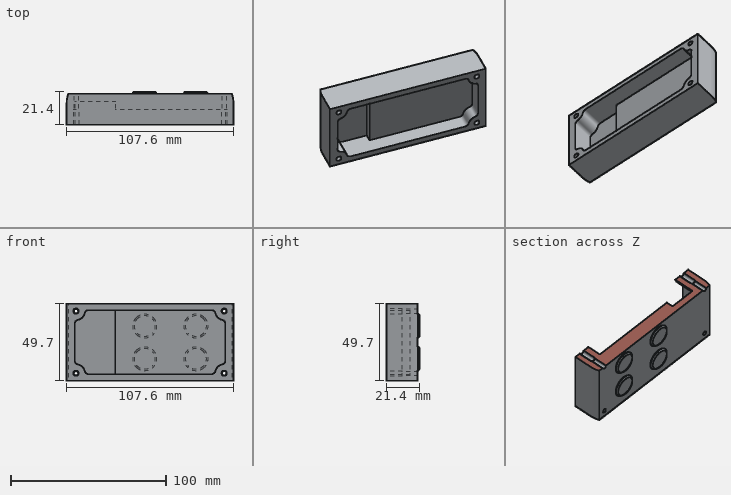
import cadquery as cq
import math

body_length = 107.6
body_height = 49.7
body_depth = 20.0

end_curve_depth = 6.5
end_curve_inset = 1.1

cavity_length = 96.9
cavity_height = 41.2
deep_bay_depth = 15.0
shallow_bay_depth = 10.0
deep_bay_length = 25.9

screw_spacing_x = 95.3
screw_spacing_z = 40.0
screw_bore_diameter = 3.4
screw_bore_depth = 10.0
screw_through_diameter = 2.8
lug_radius = 5.8
lug_blend_radius = 2.5

collar_diameter = 15.4
collar_height = 1.4
collar_chamfer = 1.0
collar_spacing_x = 32.9
collar_spacing_z = 21.1
collar_group_x = 12.9


def body():
    """Block with curved end walls, extruded along Z."""
    half_length = body_length / 2
    curve_start = body_depth - end_curve_depth
    curve_radius = (end_curve_depth**2 + end_curve_inset**2) / (2 * end_curve_inset)
    half_angle = math.asin(end_curve_depth / curve_radius) / 2
    mid_x = half_length - curve_radius * (1 - math.cos(half_angle))
    mid_y = curve_start + curve_radius * math.sin(half_angle)
    back_x = half_length - end_curve_inset
    return (
        cq.Workplane("XY", origin=(0, 0, -body_height / 2))
        .moveTo(-half_length, 0)
        .lineTo(half_length, 0)
        .lineTo(half_length, curve_start)
        .threePointArc((mid_x, mid_y), (back_x, body_depth))
        .lineTo(-back_x, body_depth)
        .threePointArc((-mid_x, mid_y), (-half_length, curve_start))
        .close()
        .extrude(body_height)
    )


def screw_pattern():
    """Workplane on the open face with a point on each screw axis."""
    return cq.Workplane("XZ").rarray(screw_spacing_x, screw_spacing_z, 2, 2)


def cavity():
    """Two-level pocket whose corners curve around the screw lugs."""
    pocket = cq.Workplane("XZ").rect(cavity_length, cavity_height).extrude(-deep_bay_depth)
    lugs = screw_pattern().circle(lug_radius).extrude(-deep_bay_depth)
    pocket = pocket.cut(lugs).edges("|Y").fillet(lug_blend_radius)
    shelf_length = cavity_length - deep_bay_length
    shelf = (
        cq.Workplane("XZ", origin=(deep_bay_length / 2, shallow_bay_depth, 0))
        .rect(shelf_length, cavity_height)
        .extrude(shallow_bay_depth - deep_bay_depth)
    )
    return pocket.cut(shelf)


def screw_holes():
    """Stepped holes: a wider bore at the open face, narrower through the back."""
    bores = screw_pattern().circle(screw_bore_diameter / 2).extrude(-screw_bore_depth)
    through = screw_pattern().circle(screw_through_diameter / 2).extrude(-body_depth)
    return bores.union(through)


def collars():
    """Round collars standing on the back face, chamfered at the free end."""
    return (
        cq.Workplane("XZ", origin=(collar_group_x, body_depth, 0))
        .rarray(collar_spacing_x, collar_spacing_z, 2, 2)
        .circle(collar_diameter / 2)
        .extrude(-collar_height)
        .faces(">Y")
        .chamfer(collar_chamfer)
    )


result = body().union(collars()).cut(cavity()).cut(screw_holes())